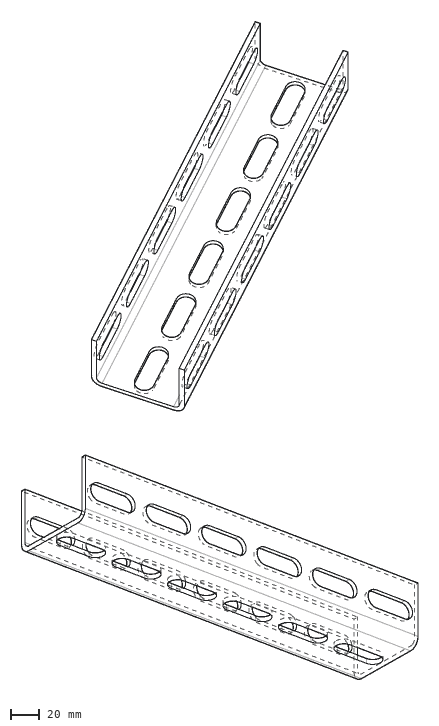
import cadquery as cq

length = 300.0
width = 70.0
height = 50.0
thickness = 4.0
outer_bend_radius = 8.0
inner_bend_radius = outer_bend_radius - thickness

slot_count = 6
slot_pitch = length / slot_count
slot_length = 40.0
slot_width = 14.0


def bent_block(block_width, bottom, bend_radius):
    """Full-length block from `bottom` to the flange tops, with rounded lower edges."""
    block = cq.Workplane("XY").workplane(offset=bottom).rect(block_width, length)
    return block.extrude(height - bottom).edges("|Y and <Z").fillet(bend_radius)


def slot_row(plane, angle, depth, both_ways):
    """Evenly spaced slots along Y, cut from the given plane."""
    first = -length / 2 + slot_pitch / 2
    centers = [first + i * slot_pitch for i in range(slot_count)]
    if plane == "XY":
        points = [(0, y) for y in centers]
    else:
        points = [(y, height / 2) for y in centers]
    row = cq.Workplane(plane).pushPoints(points).slot2D(slot_length, slot_width, angle)
    return row.extrude(depth, both=both_ways)


outer = bent_block(width, 0, outer_bend_radius)
cavity = bent_block(width - 2 * thickness, thickness, inner_bend_radius)
base_slots = slot_row("XY", 90, thickness, False)
flange_slots = slot_row("YZ", 0, width, True)

result = outer.cut(cavity).cut(base_slots).cut(flange_slots)